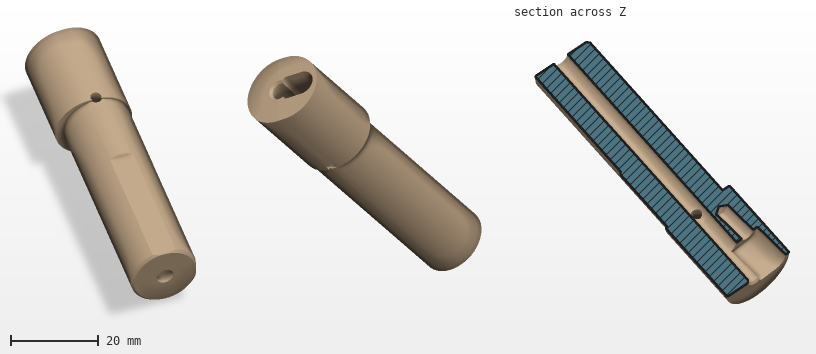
import cadquery as cq
import math

total_length = 73.0
head_length = 23.0
head_diameter = 17.0
head_offset = 1.45
shank_diameter = 16.0
end_chamfer = 0.6

bore_diameter = 4.0
bore_chamfer = 0.55
cross_hole_diameter = 2.55
cross_hole_x = 22.35

flat_start = 40.6
flat_depth = 0.5

face_tilt = 3.7
pocket_width = 6.0
pocket_center_y = -5.9
pocket_inner_y = -0.95
pocket_corner_radius = 1.0
pocket_depth = 9.85
screw_hole_diameter = 3.5
screw_hole_depth = 8.75
drill_point_angle = 118.0

head_radius = head_diameter / 2
shank_radius = shank_diameter / 2
bore_radius = bore_diameter / 2
tilt_slope = math.tan(math.radians(face_tilt))


def make_body():
    head = (
        cq.Workplane("YZ")
        .moveTo(0, head_radius)
        .lineTo(-head_offset, head_radius)
        .threePointArc((-head_offset - head_radius, 0), (-head_offset, -head_radius))
        .lineTo(0, -head_radius)
        .threePointArc((head_radius, 0), (0, head_radius))
        .close()
        .extrude(head_length)
    )
    shank = cq.Workplane("YZ").circle(shank_radius).extrude(total_length)
    return head.union(shank.faces(">X").chamfer(end_chamfer))


def make_tilted_face_cut():
    """Wedge that slopes the front face back from y = 0 towards -Y."""
    reach = head_diameter
    return (
        cq.Workplane("XY")
        .polyline([(0, 0), (tilt_slope * reach, -reach), (0, -reach)])
        .close()
        .extrude(head_diameter, both=True)
    )


def make_flat_cut():
    """Flat on the +Z side of the shank, with a 45 degree run-in."""
    floor_z = shank_radius - flat_depth
    return (
        cq.Workplane("XZ")
        .polyline([
            (flat_start, shank_radius),
            (flat_start + flat_depth, floor_z),
            (total_length, floor_z),
            (total_length, shank_radius),
        ])
        .close()
        .extrude(shank_radius, both=True)
    )


def make_bore():
    mouth_radius = bore_radius + bore_chamfer
    return (
        cq.Workplane("XY")
        .polyline([
            (0, 0),
            (0, mouth_radius),
            (bore_chamfer, bore_radius),
            (total_length, bore_radius),
            (total_length, 0),
        ])
        .close()
        .revolve(360, (0, 0, 0), (1, 0, 0))
    )


def make_pocket():
    """Pocket and drilled screw hole, both square to the tilted face."""
    half_width = pocket_width / 2
    slot_length = pocket_inner_y - pocket_center_y
    slot = (
        cq.Workplane("YZ")
        .center(slot_length / 2, 0)
        .rect(slot_length, pocket_width)
        .extrude(pocket_depth)
        .edges("|X and >Y")
        .fillet(pocket_corner_radius)
    )
    rounded_end = cq.Workplane("YZ").circle(half_width).extrude(pocket_depth)

    hole_radius = screw_hole_diameter / 2
    hole_end = pocket_depth + screw_hole_depth
    point_length = hole_radius / math.tan(math.radians(drill_point_angle / 2))
    screw_hole = (
        cq.Workplane("XY")
        .polyline([(0, 0), (0, hole_radius), (hole_end, hole_radius), (hole_end + point_length, 0)])
        .close()
        .revolve(360, (0, 0, 0), (1, 0, 0))
    )
    return (
        slot.union(rounded_end)
        .union(screw_hole)
        .rotate((0, 0, 0), (0, 0, 1), face_tilt)
        .translate((-tilt_slope * pocket_center_y, pocket_center_y, 0))
    )


cross_hole = (
    cq.Workplane("XY")
    .center(cross_hole_x, 0)
    .circle(cross_hole_diameter / 2)
    .extrude(head_diameter, both=True)
)

top_flat = make_flat_cut()
side_flat = top_flat.rotate((0, 0, 0), (1, 0, 0), -90)

result = (
    make_body()
    .cut(make_tilted_face_cut())
    .cut(top_flat)
    .cut(side_flat)
    .cut(make_bore())
    .cut(cross_hole)
    .cut(make_pocket())
)